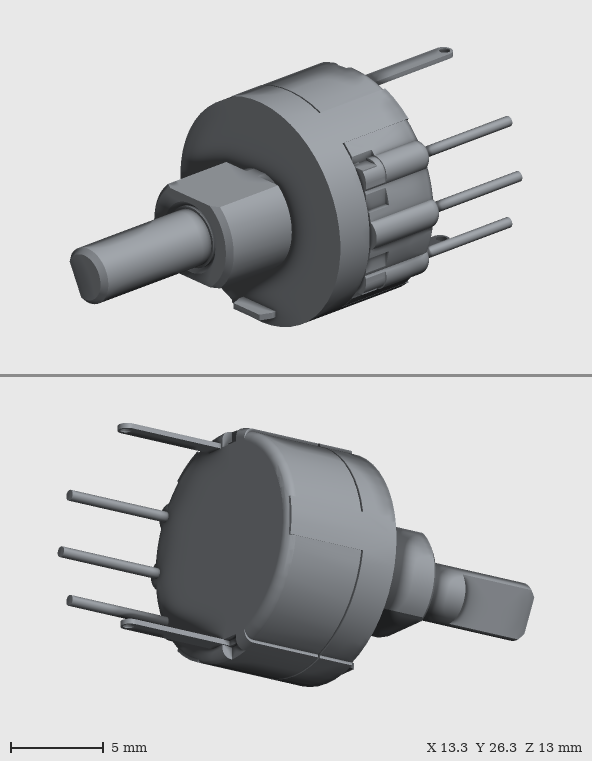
import cadquery as cq
import math


cover_radius = 6.5
cover_radius_left = 6.35
radius_step_x = -2.2
cover_thickness = 2.14
body_setback = 0.015
seam_width = 0.12
seam_radius = 6.2
body_front = cover_thickness + seam_width
body_back = 7.12
rim_fillet = 0.55

clip_angles = (58, 180, 302)
clip_half_width = 1.1
clip_back = 6.95
clip_inner_radius = 5.9

pin_angles = (-30, 0, 30)
pin_circle_radius = 6.0
pin_radius = 0.3
barrel_radius = 0.93
terminal_back = 13.47

pocket_left = 4.94
pocket_core_radius = 0.86
pocket_floor_z = 1.35
pocket_back = 3.7
seat_right = 5.8
seat_z = 3.68
seat_back = 3.3

lug_width = 1.04
lug_thickness = 0.28
lug_z = 5.62
lug_hole_diameter = 0.6
lug_hole_from_end = 0.43
upper_lug_x = 0.54
lower_lug_x = 0.28

notch_left = -1.41
notch_right = -0.14
notch_depth = 0.63
notch_floor_z = 5.5
notch_step_left = -1.1
notch_step_depth = 0.39
notch_step_z = 5.8

tab_half_width = 1.3
tab_length = 0.95
tab_thickness = 0.34
tab_z = -5.65
tab_corner_x = 0.27
tab_corner_y = 0.67

bushing_radius = 3.18
bushing_length = 5.07
bushing_chamfer = 0.3
bushing_half_flats = 2.41
neck_radius = 2.45
neck_length = 0.53
collar_radius = 1.75
recess_mouth_radius = 2.03
recess_depth = 0.28
collar_depth = 0.1

shaft_radius = 1.6
shaft_length = 12.79
shaft_chamfer = 0.3
shaft_flat_start = 7.93
shaft_flat_offset = 0.8
shaft_flat_angle = 207

terminal_anchor = 1.0
terminal_root = body_back - terminal_anchor
overlap = 0.5


def box(x_min, x_max, y_min, y_max, z_min, z_max):
    """Axis-aligned block between the given limits."""
    block = cq.Workplane("XY").box(x_max - x_min, y_max - y_min, z_max - z_min, centered=False)
    return block.translate((x_min, y_min, z_min))


def cylinder(radius, y_min, y_max, x=0, z=0):
    """Cylinder along Y centred on (x, z)."""
    return cq.Workplane("XZ", origin=(x, y_min, z)).circle(radius).extrude(y_min - y_max)


def pin_position(angle):
    """X and Z of the pin at the given angle around the shaft axis."""
    radians = math.radians(angle)
    return pin_circle_radius * math.cos(radians), pin_circle_radius * math.sin(radians)


def stepped_disc(full_disc, left_disc):
    """The larger disc, reduced to the smaller one on the -X side of the step."""
    limits = full_disc.val().BoundingBox()
    right_part = box(radius_step_x, limits.xmax, limits.ymin, limits.ymax, limits.zmin, limits.zmax)
    return full_disc.intersect(right_part).union(left_disc)


def cover_disc(y_max):
    """Stepped cover outline from the mounting face back to y_max."""
    return stepped_disc(cylinder(cover_radius, 0, y_max), cylinder(cover_radius_left, 0, y_max))


def rounded_body_cylinder(radius, x=0, z=0):
    """Cylinder over the length of the body with a rounded rear rim."""
    return cylinder(radius, body_front, body_back, x, z).faces(">Y").edges().fillet(rim_fillet)


def make_body():
    body = stepped_disc(
        rounded_body_cylinder(cover_radius - body_setback),
        rounded_body_cylinder(cover_radius_left - body_setback),
    )
    for angle in pin_angles:
        body = body.union(rounded_body_cylinder(barrel_radius, *pin_position(angle)))
    return body


def cut_rim_notches(body):
    notch_front = body_back - notch_depth
    step_back = body_back - notch_step_depth
    notch = box(notch_left, notch_right, notch_front, body_back, notch_floor_z, cover_radius + overlap)
    step = box(notch_step_left, notch_right, notch_front, step_back, notch_floor_z, notch_step_z)
    notch = notch.cut(step)
    return body.cut(notch).cut(notch.mirror("XY"))


def cut_snap_pockets(body):
    core_x, core_z = pin_position(max(pin_angles))
    pocket = box(pocket_left, cover_radius, body_front, pocket_back, pocket_floor_z, cover_radius)
    core = cylinder(pocket_core_radius, body_front, pocket_back, core_x, core_z)
    core_foot = box(
        pocket_left, core_x + pocket_core_radius,
        body_front, pocket_back,
        pocket_floor_z, core_z,
    )
    below_seat = box(pocket_left, seat_right, body_front, seat_back, core_z, seat_z)
    above_seat = box(pocket_left, seat_right, body_front, seat_back, seat_z, cover_radius)
    pocket = pocket.cut(core).cut(core_foot).cut(below_seat).union(above_seat)
    return body.cut(pocket).cut(pocket.mirror("XY"))


def make_clip(angle):
    """Curved clip flush with the cover, reaching back over the body."""
    arm = box(clip_inner_radius, cover_radius + overlap, 0, clip_back, -clip_half_width, clip_half_width)
    return arm.rotate((0, 0, 0), (0, 1, 0), -angle).intersect(cover_disc(clip_back))


def make_housing():
    seam = cylinder(seam_radius, 0, body_front + overlap)
    body = cut_snap_pockets(cut_rim_notches(make_body()))
    housing = cover_disc(cover_thickness).union(seam).union(body)
    for angle in clip_angles:
        housing = housing.union(make_clip(angle))
    return housing


def make_pin(angle):
    x, z = pin_position(angle)
    return cylinder(pin_radius, terminal_root, terminal_back, x, z)


def make_lug(x, z):
    """Flat terminal with a round end and a hole through its thickness."""
    half_width = lug_width / 2
    shoulder = terminal_back - half_width
    lug = (
        cq.Workplane("XY", origin=(x, 0, z - lug_thickness / 2))
        .moveTo(-half_width, terminal_root)
        .lineTo(half_width, terminal_root)
        .lineTo(half_width, shoulder)
        .threePointArc((0, terminal_back), (-half_width, shoulder))
        .close()
        .extrude(lug_thickness)
    )
    hole_y = terminal_back - lug_hole_from_end
    return lug.faces(">Z").workplane(origin=(x, hole_y, 0)).hole(lug_hole_diameter)


def make_tab():
    outline = [
        (-tab_half_width, overlap),
        (-tab_half_width, tab_corner_y - tab_length),
        (tab_corner_x - tab_half_width, -tab_length),
        (tab_half_width - tab_corner_x, -tab_length),
        (tab_half_width, tab_corner_y - tab_length),
        (tab_half_width, overlap),
    ]
    tab_bottom = tab_z - tab_thickness / 2
    return cq.Workplane("XY", origin=(0, 0, tab_bottom)).polyline(outline).close().extrude(tab_thickness)


def make_bushing():
    """Necked sleeve with two flats, a chamfered nose and a conical recess around a shaft collar."""
    profile = [
        (0, overlap),
        (neck_radius, overlap),
        (neck_radius, -neck_length),
        (bushing_radius, -neck_length),
        (bushing_radius, bushing_chamfer - bushing_length),
        (bushing_radius - bushing_chamfer, -bushing_length),
        (recess_mouth_radius, -bushing_length),
        (collar_radius, recess_depth - bushing_length),
        (collar_radius, collar_depth - bushing_length),
        (0, collar_depth - bushing_length),
    ]
    sleeve = cq.Workplane("XY").polyline(profile).close().revolve(360, (0, 0, 0), (0, 1, 0))
    between_flats = box(
        -bushing_radius, bushing_radius, -bushing_length, overlap, -bushing_half_flats, bushing_half_flats
    )
    return sleeve.intersect(between_flats)


def make_shaft():
    shaft = cylinder(shaft_radius, -shaft_length, overlap).faces("<Y").chamfer(shaft_chamfer)
    flat_cutter = box(
        shaft_flat_offset, shaft_radius + overlap,
        -shaft_length, -shaft_flat_start,
        -shaft_radius, shaft_radius,
    )
    return shaft.cut(flat_cutter.rotate((0, 0, 0), (0, 1, 0), -shaft_flat_angle))


result = make_housing().union(make_bushing()).union(make_shaft()).union(make_tab())
for pin_angle in pin_angles:
    result = result.union(make_pin(pin_angle))
result = result.union(make_lug(upper_lug_x, lug_z)).union(make_lug(lower_lug_x, -lug_z))